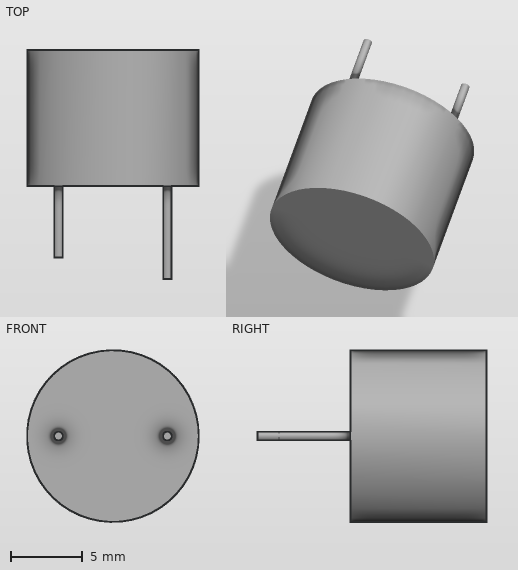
import cadquery as cq

overall_length = 16.0
can_diameter = 12.0
long_pin_length = 6.5
short_pin_length = 5.0
pin_diameter = 0.6
pin_pitch = 7.6

can_length = overall_length - long_pin_length


def cylinder_along_y(diameter, length, x=0.0):
    """Cylinder from the can's base face at Y = 0; a negative length runs toward -Y."""
    return cq.Workplane("XZ").center(x, 0).circle(diameter / 2).extrude(-length)


def make_can():
    """Plain round can extending from its base face toward +Y."""
    return cylinder_along_y(can_diameter, can_length)


def make_pin(x, length):
    """Round lead that butts against the base face and points toward -Y."""
    return cylinder_along_y(pin_diameter, -length, x)


can = make_can()

pins = []
for side, length in ((-1, short_pin_length), (1, long_pin_length)):
    pin = make_pin(side * pin_pitch / 2, length)
    pins.append(pin.val())

result = cq.Compound.makeCompound([can.val(), *pins])